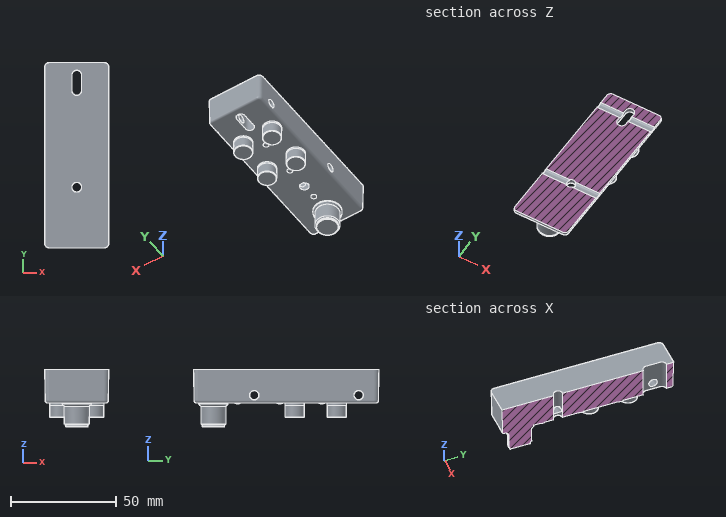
import cadquery as cq

base_width = 30.0
base_length = 87.6
body_height = 16.0
draft_angle = 1.0
corner_radius = 2.0
bottom_edge_radius = 1.2

side_hole_diameter = 4.3
vertical_hole_diameter = 4.5
slot_length = 11.8
slot_y = 34.4
round_hole_y = -15.2
side_hole_z = 3.8

socket_diameter = 9.2
socket_height = 6.9
socket_chamfer = 0.25
socket_x = 8.3
socket_pitch = 20.0
first_socket_y = 24.0
socket_rows = 2
collar_height = 1.0
collar_diameter = 9.3

connector_y = -34.6
flange_diameter = 14.0
flange_height = 0.5
barrel_diameter = 12.0
barrel_start = 1.5
barrel_end = 9.8
tip_diameter = 10.65
tip_start = 10.4
connector_height = 11.3
tip_chamfer = 0.2

lens_diameter = 2.8
lens_height = 0.35
lens_offset_y = 7.1
lens_count = 3


def make_body():
    """Drafted box with rounded corners and a rounded bottom edge."""
    body = (
        cq.Workplane("XY")
        .sketch()
        .rect(base_width, base_length)
        .vertices()
        .fillet(corner_radius)
        .finalize()
        .extrude(body_height, taper=-draft_angle)
    )
    return body.faces("<Z").edges().fillet(bottom_edge_radius)


def make_socket(x, y):
    """Cylinder hanging below the body, with a collar at its root and a chamfer at its free end."""
    barrel = (
        cq.Workplane("XY")
        .center(x, y)
        .circle(socket_diameter / 2)
        .extrude(-socket_height)
        .faces("<Z")
        .chamfer(socket_chamfer)
    )
    collar = cq.Workplane("XY").center(x, y).circle(collar_diameter / 2).extrude(-collar_height)
    return barrel.union(collar)


def make_connector():
    """Flange, cone, barrel and narrower tip as one revolved profile."""
    flange_r = flange_diameter / 2
    barrel_r = barrel_diameter / 2
    tip_r = tip_diameter / 2
    profile = [
        (0, 0),
        (flange_r, 0),
        (flange_r, -flange_height),
        (barrel_r, -barrel_start),
        (barrel_r, -barrel_end),
        (tip_r, -tip_start),
        (tip_r, -connector_height + tip_chamfer),
        (tip_r - tip_chamfer, -connector_height),
        (0, -connector_height),
    ]
    connector = cq.Workplane("XZ").polyline(profile).close().revolve(360, (0, 0), (0, 1))
    return connector.translate((0, connector_y, 0))


def make_lens(y):
    """Spherical cap protruding below the body."""
    lens_r = lens_diameter / 2
    sphere_r = (lens_r ** 2 + lens_height ** 2) / (2 * lens_height)
    return cq.Workplane("XY").sphere(sphere_r).translate((0, y, sphere_r - lens_height))


def cut_mounting_holes(part):
    """Vertical slot and hole, plus a side hole across each of them."""
    along_y = 90
    slot = (
        cq.Workplane("XY")
        .center(0, slot_y)
        .slot2D(slot_length, vertical_hole_diameter, along_y)
        .extrude(body_height)
    )
    round_hole = (
        cq.Workplane("XY")
        .center(0, round_hole_y)
        .circle(vertical_hole_diameter / 2)
        .extrude(body_height)
    )
    side_holes = (
        cq.Workplane("YZ")
        .pushPoints([(slot_y, side_hole_z), (round_hole_y, side_hole_z)])
        .circle(side_hole_diameter / 2)
        .extrude(base_width, both=True)
    )
    return part.cut(slot).cut(round_hole).cut(side_holes)


part = cut_mounting_holes(make_body())
for row in range(lens_count):
    part = part.union(make_lens(first_socket_y - lens_offset_y - row * socket_pitch))
for row in range(socket_rows):
    for x in (-socket_x, socket_x):
        part = part.union(make_socket(x, first_socket_y - row * socket_pitch))
result = part.union(make_connector())